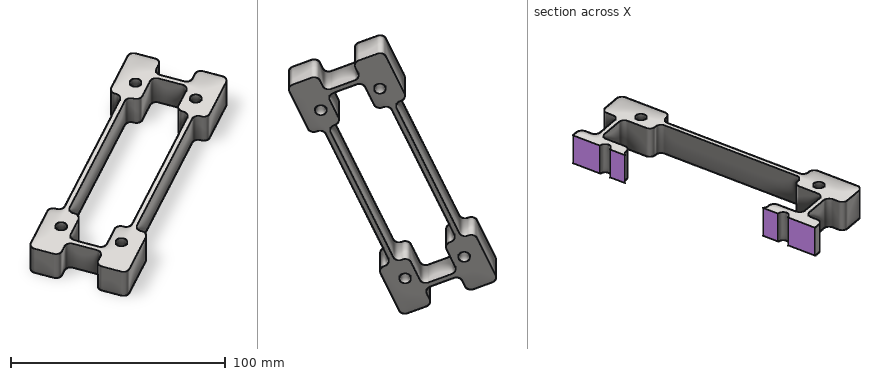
import cadquery as cq

width = 49.0
length = 136.0
height = 16.0

block_width = 15.5
block_length = 28.0
edge_radius = 3.0

wall_thickness = 2.5
end_wall_offset = 57.5

hole_diameter = 5.5
hole_spacing_x = 29.9
hole_spacing_y = 100.0

block_spacing_x = width - block_width
block_spacing_y = length - block_length


def boxes(size_x, size_y, centers):
    """Full-height boxes standing on Z = 0 at the given centres."""
    return cq.Workplane("XY").pushPoints(centers).rect(size_x, size_y).extrude(height)


def corner_points(spacing_x, spacing_y):
    """Four points of a rectangle centred on the origin."""
    return [(i * spacing_x / 2, j * spacing_y / 2) for i in (-1, 1) for j in (-1, 1)]


blocks = boxes(block_width, block_length, corner_points(block_spacing_x, block_spacing_y))
side_walls = boxes(
    wall_thickness, block_spacing_y, [(-block_spacing_x / 2, 0), (block_spacing_x / 2, 0)]
)
end_walls = boxes(block_spacing_x, wall_thickness, [(0, -end_wall_offset), (0, end_wall_offset)])

frame = blocks.union(side_walls).union(end_walls).edges("|Z").fillet(edge_radius)

holes = (
    cq.Workplane("XY")
    .pushPoints(corner_points(hole_spacing_x, hole_spacing_y))
    .circle(hole_diameter / 2)
    .extrude(height)
)

result = frame.cut(holes)